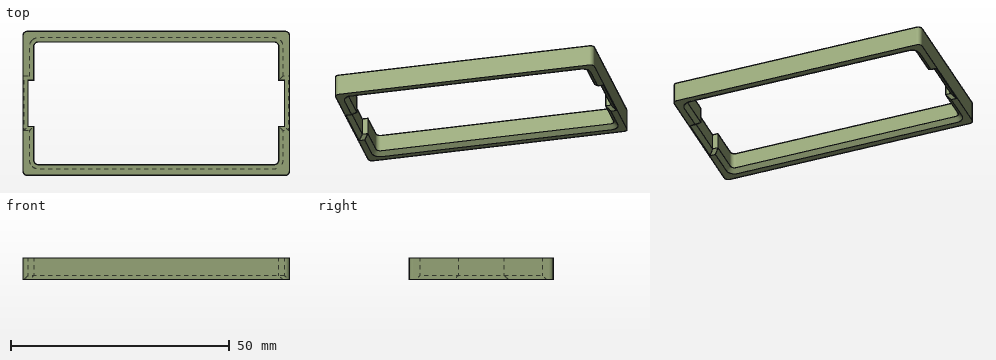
import cadquery as cq

length = 61.0
width = 33.0
height = 5.0
outer_corner_radius = 1.0

wall = 2.5
opening_length = length - 2 * wall
opening_width = width - 2 * wall
opening_corner_radius = 1.0

notch_width = 10.5
notch_wall = 1.2
notch_span = length - 2 * notch_wall

rim_chamfer = 1.0


def rounded_block(size_x, size_y, corner_radius):
    """Full-height block with rounded vertical edges, standing on Z = 0."""
    block = cq.Workplane("XY").rect(size_x, size_y).extrude(height)
    return block.edges("|Z").fillet(corner_radius)


def notched_opening():
    """Cutter for the opening, with a bar along X that adds both notches."""
    opening = rounded_block(opening_length, opening_width, opening_corner_radius)
    notches = cq.Workplane("XY").rect(notch_span, notch_width).extrude(height)
    return opening.union(notches)


def chamfer_bottom_rim(frame):
    """Chamfer every edge of the bottom face's inner outline."""
    bottom_face = frame.faces("<Z").val()
    rim_edges = bottom_face.innerWires()[0].Edges()
    return frame.newObject(rim_edges).chamfer(rim_chamfer)


frame = rounded_block(length, width, outer_corner_radius).cut(notched_opening())
result = chamfer_bottom_rim(frame)